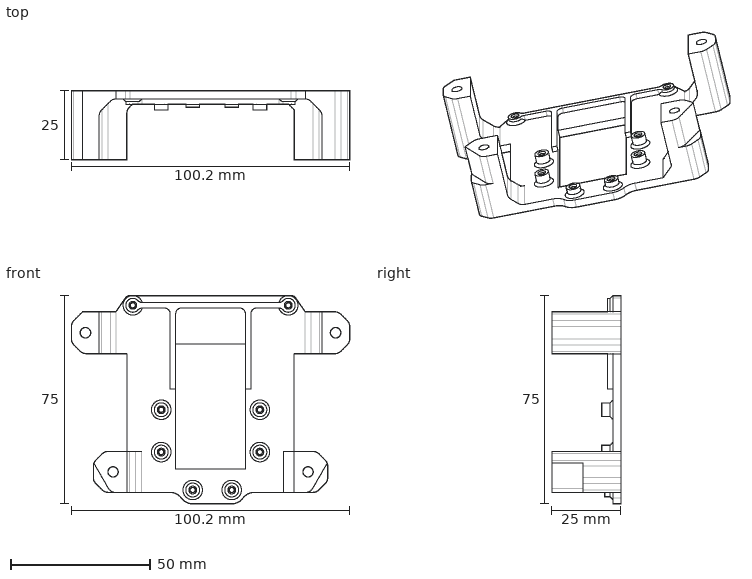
import cadquery as cq
import math

PLATE_THICKNESS = 3.0
PLATE_HALF_WIDTH = 30.1
PLATE_BOTTOM = 4.1
PLATE_TOP = 75.0
TOP_EDGE_HALF_WIDTH = 30.1
TOP_CORNER_RADIUS = 2.0
SHOULDER_HALF_WIDTH = 34.1

WINDOW_HALF_WIDTH = 12.5
WINDOW_BOTTOM = 12.6
WINDOW_TOP = 57.5

LEG_DEPTH = 25.0
LEG_CHAMFER = 4.1
LEG_ROUND = 3.0

UPPER_LEG_INNER = 40.1
UPPER_LEG_OUTER = 50.1
UPPER_LEG_BOTTOM = 54.0
UPPER_LEG_TOP = 69.2
UPPER_GUSSET = 4.9
UPPER_HOLE_DIAMETER = 3.7
UPPER_HOLE_X = 45.0

LOWER_LEG_INNER = PLATE_HALF_WIDTH
LOWER_LEG_OUTER = 42.2
LOWER_LEG_TOP = 18.9
LOWER_GUSSET = 3.9
LOWER_HOLE_DIAMETER = 3.6
LOWER_HOLE_X = 35.1

RELIEF_START = 13.7
RELIEF_ANGLE = math.radians(60)
RELIEF_FOOT_X = 35.9

BOSS_DIAMETER = 5.0
BOSS_BASE_FLARE = 1.0
PILOT_DIAMETER = 1.8
PILOT_CHAMFER = 0.5
TOP_BOSS_X = 28.0
TOP_BOSS_Z = PLATE_TOP - BOSS_DIAMETER / 2 - BOSS_BASE_FLARE
TOP_BOSS_HEIGHT = 2.0
MIDDLE_BOSS_X = 17.7
MIDDLE_BOSS_ROWS = (18.6, 33.9)
MIDDLE_BOSS_HEIGHT = 4.0
TAB_CENTER_X = 0.6
TAB_BOSS_SPACING = 14.0
TAB_BOSS_HEIGHT = 3.0

TAB_RADIUS = 5.0

RIB_WIDTH = 2.0
RIB_HEIGHT = TOP_BOSS_HEIGHT
RIB_FOOT = 41.3
RIB_CORNER_RADIUS = 2.0
RIB_BOSS_FILLET = 2.0

FRONT_FACE = -PLATE_THICKNESS
UPPER_HOLE_Z = (UPPER_LEG_BOTTOM + UPPER_LEG_TOP) / 2
LOWER_HOLE_Z = (PLATE_BOTTOM + LOWER_LEG_TOP) / 2


def front_plane(y):
    """XZ sketch plane at depth y, extruding toward -Y."""
    return cq.Workplane("XZ", origin=(0, y, 0))


def box(x_min, x_max, z_min, z_max, y_start, depth):
    """Block starting at depth y_start and reaching toward -Y."""
    return (
        front_plane(y_start)
        .moveTo((x_min + x_max) / 2, (z_min + z_max) / 2)
        .rect(x_max - x_min, z_max - z_min)
        .extrude(depth)
    )


def make_tab():
    """Tab below the plate: two equal tangent arcs form each S-shaped side."""
    flat = TAB_BOSS_SPACING / 2
    half_drop = PLATE_BOTTOM / 2
    sweep = math.acos(1 - half_drop / TAB_RADIUS)
    half_run = TAB_RADIUS * math.sin(sweep)
    middle = flat + half_run
    end = middle + half_run
    half_tab = (
        front_plane(0)
        .lineTo(flat, 0)
        .tangentArcPoint((middle, half_drop), relative=False)
        .tangentArcPoint((end, PLATE_BOTTOM), relative=False)
        .lineTo(0, PLATE_BOTTOM)
        .close()
        .extrude(PLATE_THICKNESS)
    )
    return half_tab.union(half_tab.mirror("YZ")).translate((TAB_CENTER_X, 0, 0))


def make_plate():
    body = box(-PLATE_HALF_WIDTH, PLATE_HALF_WIDTH, PLATE_BOTTOM, UPPER_LEG_TOP, 0, PLATE_THICKNESS)
    head = (
        front_plane(0)
        .polyline([
            (-SHOULDER_HALF_WIDTH, UPPER_LEG_BOTTOM),
            (SHOULDER_HALF_WIDTH, UPPER_LEG_BOTTOM),
            (SHOULDER_HALF_WIDTH, UPPER_LEG_TOP),
            (TOP_EDGE_HALF_WIDTH, PLATE_TOP),
            (-TOP_EDGE_HALF_WIDTH, PLATE_TOP),
            (-SHOULDER_HALF_WIDTH, UPPER_LEG_TOP),
        ])
        .close()
        .extrude(PLATE_THICKNESS)
        .edges("|Y and >Z")
        .fillet(TOP_CORNER_RADIUS)
    )
    return body.union(head).union(make_tab())


def make_leg(inner, outer, bottom, top, gusset, gusset_fillet, round_top):
    """Leg on the +X side with a web and a 45 degree gusset reaching back to the plate."""
    root = inner - 2 * gusset
    gusset_y = FRONT_FACE - gusset
    leg = (
        cq.Workplane("XY", origin=(0, 0, bottom))
        .polyline([
            (root, 0),
            (outer, 0),
            (outer, -LEG_DEPTH),
            (inner, -LEG_DEPTH),
            (inner, gusset_y),
            (inner - gusset, FRONT_FACE),
            (root, FRONT_FACE),
        ])
        .close()
        .extrude(top - bottom)
    )
    if gusset_fillet:
        for corner in ((inner, gusset_y), (inner - gusset, FRONT_FACE)):
            edge = cq.selectors.NearestToPointSelector((*corner, (bottom + top) / 2))
            leg = leg.edges(edge).fillet(LEG_ROUND)
    leg = leg.edges("|Y and >X").chamfer(LEG_CHAMFER)
    rounded_corners = [
        (outer, top - LEG_CHAMFER),
        (outer, bottom + LEG_CHAMFER),
        (outer - LEG_CHAMFER, bottom),
    ]
    if round_top:
        rounded_corners.append((outer - LEG_CHAMFER, top))
    for x, z in rounded_corners:
        edge = cq.selectors.NearestToPointSelector((x, -LEG_DEPTH / 2, z))
        leg = leg.edges(edge).fillet(LEG_ROUND)
    return leg


def make_upper_leg(round_top):
    leg = make_leg(
        UPPER_LEG_INNER, UPPER_LEG_OUTER, UPPER_LEG_BOTTOM, UPPER_LEG_TOP, UPPER_GUSSET, True, round_top
    )
    hole = front_plane(0).center(UPPER_HOLE_X, UPPER_HOLE_Z).circle(UPPER_HOLE_DIAMETER / 2)
    return leg.cut(hole.extrude(LEG_DEPTH))


def make_relief():
    """Cutter for the sloping relief, blended tangentially into the leg's bottom face."""
    tangent_length = LEG_ROUND * math.tan(RELIEF_ANGLE / 2)
    rise = LOWER_LEG_TOP - PLATE_BOTTOM
    slope_end_x = RELIEF_FOOT_X + rise / math.tan(RELIEF_ANGLE)
    blend_end = (
        RELIEF_FOOT_X + tangent_length * math.cos(RELIEF_ANGLE),
        PLATE_BOTTOM + tangent_length * math.sin(RELIEF_ANGLE),
    )
    return (
        front_plane(-RELIEF_START)
        .moveTo(slope_end_x, PLATE_BOTTOM)
        .lineTo(slope_end_x, LOWER_LEG_TOP)
        .lineTo(*blend_end)
        .tangentArcPoint((RELIEF_FOOT_X - tangent_length, PLATE_BOTTOM), relative=False)
        .close()
        .extrude(LEG_DEPTH - RELIEF_START)
    )


def make_lower_leg(gusset_fillet):
    leg = make_leg(
        LOWER_LEG_INNER, LOWER_LEG_OUTER, PLATE_BOTTOM, LOWER_LEG_TOP, LOWER_GUSSET, gusset_fillet, True
    )
    hole = front_plane(0).center(LOWER_HOLE_X, LOWER_HOLE_Z).circle(LOWER_HOLE_DIAMETER / 2)
    return leg.cut(hole.extrude(LEG_DEPTH)).cut(make_relief())


def make_boss(x, z, height):
    """Round boss on the front face with a 45 degree conical flare around its base."""
    radius = BOSS_DIAMETER / 2
    return (
        cq.Workplane("XY")
        .lineTo(radius + BOSS_BASE_FLARE, 0)
        .lineTo(radius, -BOSS_BASE_FLARE)
        .lineTo(radius, -height)
        .lineTo(0, -height)
        .close()
        .revolve(360, (0, 0, 0), (0, 1, 0))
        .translate((x, FRONT_FACE, z))
    )


def make_pilot_hole(x, z, height):
    """Cutter for a hole through boss and plate, chamfered at the mouth."""
    mouth = FRONT_FACE - height
    radius = PILOT_DIAMETER / 2
    return (
        cq.Workplane("XY")
        .lineTo(radius, 0)
        .lineTo(radius, mouth + PILOT_CHAMFER)
        .lineTo(radius + PILOT_CHAMFER, mouth)
        .lineTo(0, mouth)
        .close()
        .revolve(360, (0, 0, 0), (0, 1, 0))
        .translate((x, 0, z))
    )


def make_ribs():
    """Cross rib between the top bosses with two ribs running down beside the window."""
    half = RIB_WIDTH / 2
    ribs = box(-TOP_BOSS_X, TOP_BOSS_X, TOP_BOSS_Z - half, TOP_BOSS_Z + half, FRONT_FACE, RIB_HEIGHT)
    outer = WINDOW_HALF_WIDTH + RIB_WIDTH
    for x_min, x_max in ((-outer, -WINDOW_HALF_WIDTH), (WINDOW_HALF_WIDTH, outer)):
        ribs = ribs.union(box(x_min, x_max, RIB_FOOT, TOP_BOSS_Z, FRONT_FACE, RIB_HEIGHT))
    for x in (-outer, -WINDOW_HALF_WIDTH, WINDOW_HALF_WIDTH, outer):
        corner = (x, FRONT_FACE - RIB_HEIGHT / 2, TOP_BOSS_Z - half)
        ribs = ribs.edges(cq.selectors.NearestToPointSelector(corner)).fillet(RIB_CORNER_RADIUS)
    boss_radius = BOSS_DIAMETER / 2
    joint_x = TOP_BOSS_X - math.sqrt(boss_radius**2 - half**2)
    for side in (-1, 1):
        post = front_plane(FRONT_FACE).center(side * TOP_BOSS_X, TOP_BOSS_Z).circle(boss_radius)
        ribs = ribs.union(post.extrude(RIB_HEIGHT))
        for z in (TOP_BOSS_Z - half, TOP_BOSS_Z + half):
            joint = (side * joint_x, FRONT_FACE - RIB_HEIGHT / 2, z)
            ribs = ribs.edges(cq.selectors.NearestToPointSelector(joint)).fillet(RIB_BOSS_FILLET)
    return ribs


bosses = [
    (TAB_CENTER_X + side * TAB_BOSS_SPACING / 2, TAB_RADIUS, TAB_BOSS_HEIGHT)
    for side in (-1, 1)
]
for side in (-1, 1):
    bosses.append((side * TOP_BOSS_X, TOP_BOSS_Z, TOP_BOSS_HEIGHT))
    for row_z in MIDDLE_BOSS_ROWS:
        bosses.append((side * MIDDLE_BOSS_X, row_z, MIDDLE_BOSS_HEIGHT))

right_legs = make_upper_leg(round_top=True).union(make_lower_leg(gusset_fillet=False))
left_legs = make_upper_leg(round_top=False).union(make_lower_leg(gusset_fillet=True)).mirror("YZ")

window = box(-WINDOW_HALF_WIDTH, WINDOW_HALF_WIDTH, WINDOW_BOTTOM, WINDOW_TOP, 0, PLATE_THICKNESS)

result = make_plate().cut(window).union(right_legs).union(left_legs).union(make_ribs())
for boss in bosses:
    result = result.union(make_boss(*boss))
for boss in bosses:
    result = result.cut(make_pilot_hole(*boss))